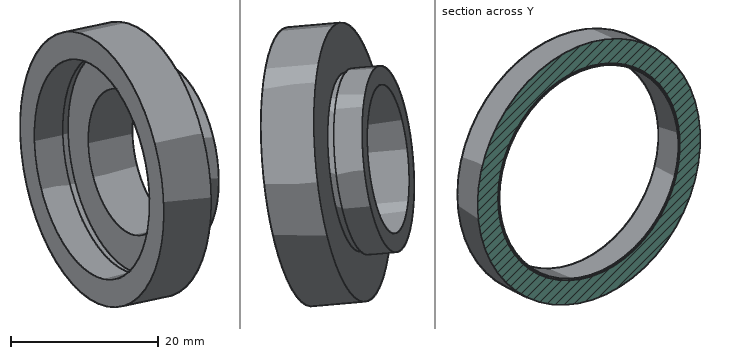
import cadquery as cq

flange_diameter = 38.1
flange_thickness = 7.5
neck_diameter = 24.45
neck_length = 1.0
spigot_diameter = 25.45
total_length = 12.5
bore_diameter = 20.3
recess_diameter = 30.48
recess_depth = 5.5
relief_diameter = 30.98
relief_width = 1.0


def disc(diameter, start, end):
    """Solid disc about the Y axis between two Y positions."""
    plane = cq.Workplane("XZ", origin=(0, start, 0))
    return plane.circle(diameter / 2).extrude(start - end)


neck_end = flange_thickness + neck_length

body = disc(flange_diameter, 0, flange_thickness)
body = body.union(disc(neck_diameter, 0, neck_end))
body = body.union(disc(spigot_diameter, neck_end, total_length))

body = body.cut(disc(bore_diameter, 0, total_length))
body = body.cut(disc(recess_diameter, 0, recess_depth))
body = body.cut(disc(relief_diameter, recess_depth - relief_width, recess_depth))

result = body